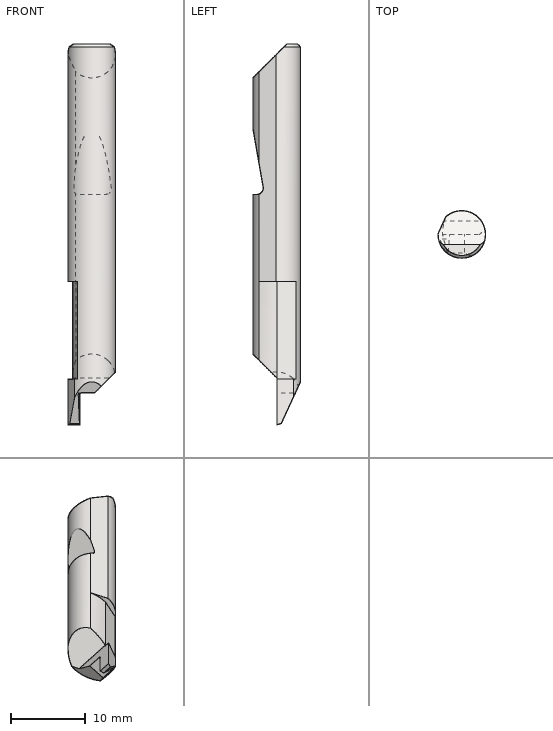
import cadquery as cq
import math

length = 50.8
diameter = 6.35
radius = diameter / 2
end_chamfer = 0.38

top_slope_start_z = 46.3
bottom_bevel_start_z = 9.45

notch_floor_z = 30.75
notch_top_z = 39.4
notch_root_y = 1.65
notch_fillet = 0.85

flat_low_y = 0.1
flat_high_y = 2.35

relief_bottom_z = 6.1
relief_top_z = 19.1
relief_ridge_x = -2.565
relief_front_y = -2.55
relief_arc_radius = 6.6

tip_width = 1.6
tip_land = 0.6
tip_land_rise = 0.18
front_clearance_top_z = 5.75
side_clearance_angle = 22.0
inner_clearance_angle = 5.0
shoulder_z = 4.25
shoulder_bevel_top_z = 7.05
shoulder_fillet = 0.25

margin = 2.55
reach = radius + margin


def circle_x(y):
    """X of the -X side of the shank circle at the given Y."""
    return -math.sqrt(radius**2 - y**2)


def side_prism(points):
    """Prism along X with an outline in (Y, Z)."""
    return cq.Workplane("YZ").polyline(points).close().extrude(reach, both=True)


def make_shank():
    shank = cq.Workplane("XY").circle(radius).extrude(length)
    return shank.faces(">Z").chamfer(end_chamfer)


def make_top_slope():
    rise = length + margin - top_slope_start_z
    return side_prism([
        (reach, top_slope_start_z - margin),
        (reach, length + margin),
        (radius - rise, length + margin),
    ])


def make_clamping_notch():
    slope = (radius - notch_root_y) / (notch_top_z - notch_floor_z)
    notch = side_prism([
        (notch_root_y, notch_floor_z),
        (reach, notch_floor_z),
        (reach, notch_top_z + margin / slope),
    ])
    root_edge = cq.selectors.NearestToPointSelector((0, notch_root_y, notch_floor_z))
    return notch.edges("|X").edges(root_edge).fillet(notch_fillet)


def make_flat():
    low_x = circle_x(flat_low_y)
    high_x = circle_x(flat_high_y)
    extend_x = high_x - low_x
    extend_y = flat_high_y - flat_low_y
    return (
        cq.Workplane("XY", origin=(0, 0, relief_top_z))
        .polyline([
            (low_x - extend_x, flat_low_y - extend_y),
            (high_x + extend_x, flat_high_y + extend_y),
            (low_x - extend_x, flat_high_y + extend_y),
        ])
        .close()
        .extrude(length)
    )


def make_side_relief():
    """Recess with a flat front half and an arc behind, tangent to the Y direction at the ridge."""
    def arc_x(y):
        return relief_ridge_x + relief_arc_radius - math.sqrt(relief_arc_radius**2 - y**2)

    front_slope = (circle_x(relief_front_y) - relief_ridge_x) / relief_front_y
    return (
        cq.Workplane("XY", origin=(0, 0, relief_bottom_z))
        .moveTo(relief_ridge_x - front_slope * reach, -reach)
        .lineTo(relief_ridge_x, 0)
        .threePointArc((arc_x(radius / 2), radius / 2), (arc_x(radius), radius))
        .lineTo(-reach, radius)
        .lineTo(-reach, -reach)
        .close()
        .extrude(relief_top_z - relief_bottom_z)
    )


def make_rake_cut():
    """Removes the +Y half beside the tip and bevels the shank above it."""
    return side_prism([
        (0, -margin),
        (0, bottom_bevel_start_z - radius),
        (reach, bottom_bevel_start_z + margin),
        (reach, -margin),
    ])


def make_front_clearance():
    slope = (front_clearance_top_z - tip_land_rise) / (radius - tip_land)
    end_slope = tip_land_rise / tip_land
    return side_prism([
        (margin, -margin * end_slope),
        (-tip_land, tip_land_rise),
        (-reach, front_clearance_top_z + margin * slope),
        (-reach, -margin),
        (margin, -margin),
    ])


def make_side_clearance():
    inset = reach * math.tan(math.radians(side_clearance_angle))
    return (
        cq.Workplane("XY")
        .polyline([(-radius, 0), (-radius + inset, -reach), (-reach, -reach), (-reach, 0)])
        .close()
        .extrude(relief_bottom_z)
    )


def front_prism(points):
    """Prism along Y with an outline in (X, Z)."""
    return cq.Workplane("XZ").polyline(points).close().extrude(reach, both=True)


def make_inner_notch():
    """Clears the tip's inner side up to the shoulder, its wall leaning away toward -Y."""
    wall_x = tip_width - radius
    notch = front_prism([
        (wall_x, -margin),
        (wall_x, shoulder_z),
        (reach, shoulder_z),
        (reach, -margin),
    ])
    corner = cq.selectors.NearestToPointSelector((wall_x, 0, shoulder_z))
    notch = notch.edges("|Y").edges(corner).fillet(shoulder_fillet)
    return notch.rotate((wall_x, 0, 0), (wall_x, 0, 1), -inner_clearance_angle)


def make_shoulder_bevel():
    """45 degree bevel from the shoulder to the +X side of the shank."""
    bevel_start_x = radius - (shoulder_bevel_top_z - shoulder_z)
    return front_prism([
        (bevel_start_x, shoulder_z),
        (reach, shoulder_bevel_top_z + margin),
        (reach, shoulder_z),
    ])


result = (
    make_shank()
    .cut(make_top_slope())
    .cut(make_clamping_notch())
    .cut(make_flat())
    .cut(make_side_relief())
    .cut(make_rake_cut())
    .cut(make_front_clearance())
    .cut(make_side_clearance())
    .cut(make_inner_notch())
    .cut(make_shoulder_bevel())
)